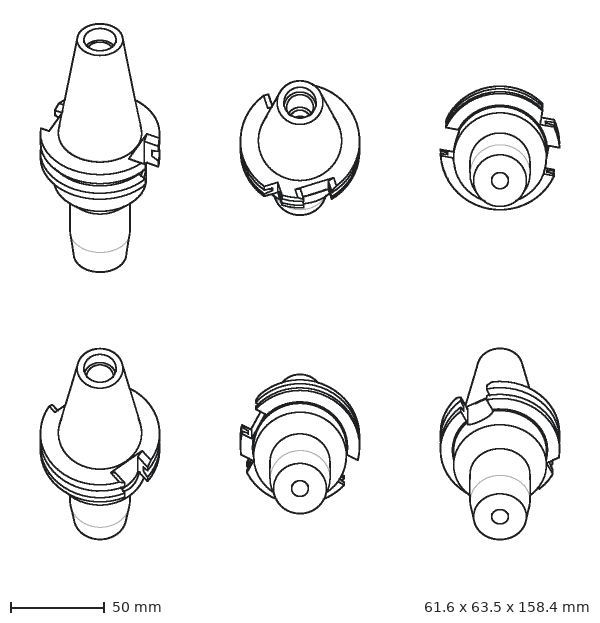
import cadquery as cq

total_height = 158.4
gauge_height = 90.0
flange_top = 89.2
groove_top = 82.5
groove_floor_top = 81.1
groove_floor_bottom = 77.3
groove_bottom = 75.4
flange_bottom = 71.0
body_top = 70.3
body_bottom = 55.3
shank_top = 44.8
nose_top = 16.6

gauge_radius = 22.2
taper_rate = 7 / 24
taper_end_radius = gauge_radius - taper_rate / 2 * (total_height - gauge_height)
flange_diameter = 63.5
flange_radius = flange_diameter / 2
groove_radius = 28.0
body_radius = 24.7
body_top_chamfer = flange_bottom - body_top
shank_radius = 16.0
nose_radius = 14.1

through_radius = 4.5
bore_steps = [(8.5, 8.7), (7.1, 31.7), (5.5, 42.8)]

slot_width = 15.5
slot_chamfer = 3.0
left_slot_floor = 25.0
right_slot_floor = 22.5

notch_offset = 18.4


def revolved_body():
    """Taper, grooved flange, body and nose as one turned solid."""
    outline = [
        (0, 0),
        (nose_radius, 0),
        (shank_radius, nose_top),
        (shank_radius, shank_top),
        (body_radius, body_bottom),
        (body_radius, body_top),
        (body_radius + body_top_chamfer, flange_bottom),
        (flange_radius, flange_bottom),
        (flange_radius, groove_bottom),
        (groove_radius, groove_floor_bottom),
        (groove_radius, groove_floor_top),
        (flange_radius, groove_top),
        (flange_radius, flange_top),
        (gauge_radius, flange_top),
        (gauge_radius, gauge_height),
        (taper_end_radius, total_height),
        (0, total_height),
    ]
    return cq.Workplane("XZ").polyline(outline).close().revolve(360, (0, 0), (0, 1))


def bore():
    """Through hole widened in steps towards the taper end."""
    hole = cq.Workplane("XY").circle(through_radius).extrude(total_height)
    for radius, depth in bore_steps:
        step = cq.Workplane("XY", origin=(0, 0, total_height - depth)).circle(radius).extrude(depth)
        hole = hole.union(step)
    return hole


def drive_slot(floor, side):
    """Round-ended slot with chamfered mouth; side is +1 or -1 along X."""
    half_width = slot_width / 2
    mouth_half_width = half_width + slot_chamfer
    chamfer_bottom = flange_top - slot_chamfer
    return (
        cq.Workplane("YZ", origin=(side * floor, 0, 0))
        .moveTo(-mouth_half_width, flange_top)
        .lineTo(-half_width, chamfer_bottom)
        .lineTo(-half_width, flange_bottom)
        .threePointArc((0, flange_bottom - half_width), (half_width, flange_bottom))
        .lineTo(half_width, chamfer_bottom)
        .lineTo(mouth_half_width, flange_top)
        .close()
        .extrude(side * flange_radius)
    )


def orientation_notch():
    """Square corner removed through the full flange thickness."""
    return cq.Workplane("XY").box(
        flange_radius, flange_radius, flange_top - flange_bottom, centered=False
    ).translate((-notch_offset - flange_radius, notch_offset, flange_bottom))


result = (
    revolved_body()
    .cut(bore())
    .cut(drive_slot(left_slot_floor, -1))
    .cut(drive_slot(right_slot_floor, 1))
    .cut(orientation_notch())
)